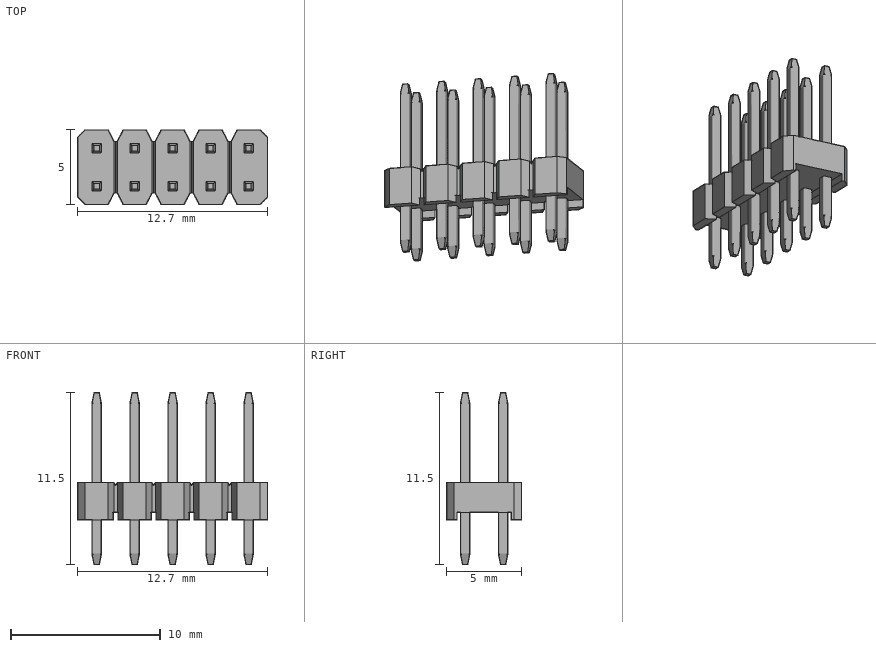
import cadquery as cq

PITCH = 2.54
COLUMNS = 5
ROWS = 2

BODY_LENGTH = COLUMNS * PITCH
BODY_WIDTH = 5.0
BODY_HEIGHT = 2.5
CORNER_CHAMFER = 0.5

NOTCH_MOUTH = 1.0
NOTCH_ROOT = 0.22
NOTCH_DEPTH = 0.77
GROOVE_DEPTH = 0.19
SLOT_WIDTH = 0.3

STANDOFF = 0.5
CHANNEL_WIDTH = 3.6

PIN_SIZE = 0.64
PIN_EDGE_RADIUS = 0.1
PIN_LENGTH_ABOVE = 6.0
PIN_LENGTH_BELOW = 3.0
PIN_TOP = BODY_HEIGHT + PIN_LENGTH_ABOVE
PIN_BOTTOM = -PIN_LENGTH_BELOW
TIP_SIZE = 0.35
TIP_LENGTH = 0.72


def centred_positions(count):
    """Positions of `count` items one pitch apart, centred on zero."""
    return [(i - (count - 1) / 2) * PITCH for i in range(count)]


def body_block():
    """Rectangular block with chamfered vertical corners."""
    block = cq.Workplane("XY").box(BODY_LENGTH, BODY_WIDTH, BODY_HEIGHT, centered=(True, True, False))
    return block.edges("|Z").chamfer(CORNER_CHAMFER)


def side_notch(x, side):
    """Tapered full-height notch at x; side is +1 for the +Y face and -1 for the -Y face."""
    face_y = side * BODY_WIDTH / 2
    root_y = side * (BODY_WIDTH / 2 - NOTCH_DEPTH)
    outline = [
        (x - NOTCH_MOUTH / 2, face_y),
        (x + NOTCH_MOUTH / 2, face_y),
        (x + NOTCH_ROOT / 2, root_y),
        (x - NOTCH_ROOT / 2, root_y),
    ]
    return cq.Workplane("XY").polyline(outline).close().extrude(BODY_HEIGHT)


def top_groove(x):
    """V groove across the top face, as wide as the notch root."""
    outline = [
        (x - NOTCH_ROOT / 2, BODY_HEIGHT),
        (x + NOTCH_ROOT / 2, BODY_HEIGHT),
        (x, BODY_HEIGHT - GROOVE_DEPTH),
    ]
    return cq.Workplane("XZ").polyline(outline).close().extrude(BODY_WIDTH / 2, both=True)


def bottom_slot(x):
    """Straight slot across the underside that separates the feet of two columns."""
    slot = cq.Workplane("XY").box(SLOT_WIDTH, BODY_WIDTH, STANDOFF, centered=(True, True, False))
    return slot.translate((x, 0, 0))


def underside_channel():
    """Channel along the whole underside, leaving feet along both long sides."""
    return cq.Workplane("XY").box(BODY_LENGTH, CHANNEL_WIDTH, STANDOFF, centered=(True, True, False))


def tapered_envelope():
    """Sharp-edged square bar that tapers to TIP_SIZE at both ends, on the Z axis."""
    shank_bottom = PIN_BOTTOM + TIP_LENGTH
    shank_top = PIN_TOP - TIP_LENGTH
    half_size = PIN_SIZE / 2
    half_tip = TIP_SIZE / 2
    profile = [
        (-half_tip, PIN_BOTTOM),
        (half_tip, PIN_BOTTOM),
        (half_size, shank_bottom),
        (half_size, shank_top),
        (half_tip, PIN_TOP),
        (-half_tip, PIN_TOP),
        (-half_size, shank_top),
        (-half_size, shank_bottom),
    ]
    taper_along_x = cq.Workplane("XZ").polyline(profile).close().extrude(half_size, both=True)
    taper_along_y = cq.Workplane("YZ").polyline(profile).close().extrude(half_size, both=True)
    return taper_along_x.intersect(taper_along_y)


def pin():
    """Square pin with rounded long edges; the rounding fades out into the tapered tips."""
    bar = (
        cq.Workplane("XY", origin=(0, 0, PIN_BOTTOM))
        .rect(PIN_SIZE, PIN_SIZE)
        .extrude(PIN_TOP - PIN_BOTTOM)
        .edges("|Z")
        .fillet(PIN_EDGE_RADIUS)
    )
    return bar.intersect(tapered_envelope())


body = body_block().cut(underside_channel())
for break_x in centred_positions(COLUMNS - 1):
    body = body.cut(side_notch(break_x, 1)).cut(side_notch(break_x, -1))
    body = body.cut(top_groove(break_x)).cut(bottom_slot(break_x))

single_pin = pin()
result = body
for pin_x in centred_positions(COLUMNS):
    for pin_y in centred_positions(ROWS):
        result = result.union(single_pin.translate((pin_x, pin_y, 0)))